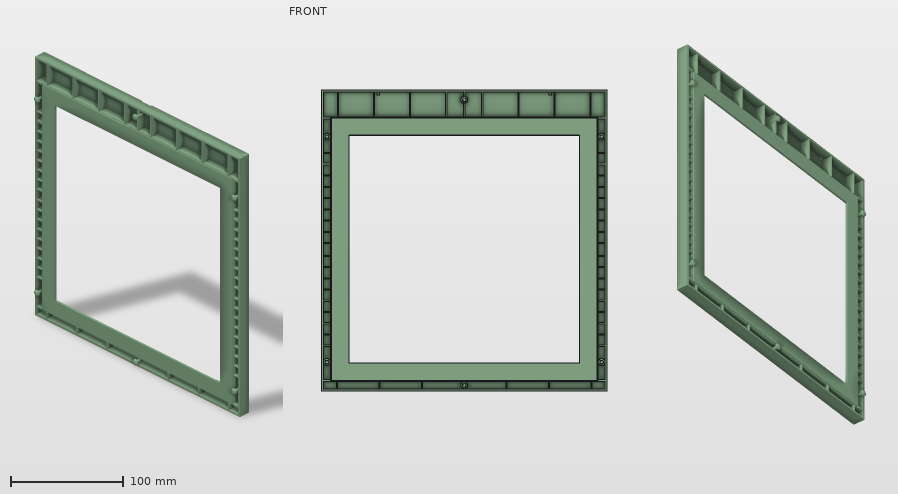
import cadquery as cq

FRAME_WIDTH = 254.0
FRAME_HEIGHT = 268.0
TOTAL_DEPTH = 16.11
FRAME_DEPTH = 12.0
FLOOR_THICKNESS = 3.0
REAR_EDGE_RADIUS = 0.5
OUTER_WALL = 2.0
INNER_WALL = 1.0
RIB_THICKNESS = 1.0
HALF_WIDTH = FRAME_WIDTH / 2
HALF_HEIGHT = FRAME_HEIGHT / 2

WINDOW_WIDTH = 205.0
WINDOW_HEIGHT = 202.5
WINDOW_BOTTOM = -109.0
PANEL_BORDER = 15.5
PANEL_THICKNESS = 2.0
INNER_WALL_SETBACK = 1.0
PANEL_HALF_WIDTH = WINDOW_WIDTH / 2 + PANEL_BORDER
PANEL_TOP = WINDOW_BOTTOM + WINDOW_HEIGHT + PANEL_BORDER
PANEL_BOTTOM = WINDOW_BOTTOM - PANEL_BORDER

POCKET_HALF_WIDTH = HALF_WIDTH - OUTER_WALL
POCKET_TOP = HALF_HEIGHT - OUTER_WALL
POCKET_BOTTOM = -POCKET_TOP
INNER_HALF_WIDTH = PANEL_HALF_WIDTH + INNER_WALL
INNER_TOP = PANEL_TOP + INNER_WALL
INNER_BOTTOM = PANEL_BOTTOM - INNER_WALL

TOP_RIB_PITCH = 32.1
TOP_RIBS_PER_SIDE = 4
BOTTOM_RIB_PITCH = 37.7
BOTTOM_RIBS_PER_SIDE = 3
SIDE_RIB_PITCH = 10.0
UPPER_RIB_COUNT = 7
UPPER_RIB_START_Z = 57.6
LOWER_RIB_COUNT = 9
LOWER_RIB_START_Z = -13.7
SINGLE_SIDE_RIB_Z = 77.9
CROSS_WALL = 2.0
CROSS_WALL_Z = 68.0

STUD_STEM_RADIUS = 1.6
STUD_FLANGE_RADIUS = 3.1
STUD_TIP_RADIUS = 1.6
STUD_STEM_LENGTH = 2.0
STUD_FLANGE_LENGTH = 1.0
SIDE_STUD_X = 122.2
SIDE_STUD_Z = (92.3, -108.2)
TOP_STUD_Z = 125.2
BOTTOM_STUD_Z = -128.9

LEDGE_HALF_LENGTH = 77.7
LEDGE_WIDTH = 1.5
LEDGE_DROP = 0.3
FINGER_NOTCH_RADIUS = 6.0
LUG_WIDTH = 2.5
LUG_DEPTH = 0.9
TAB_HEIGHT = 2.7
TAB_PROJECTION = 1.0


def box(x_min, x_max, z_min, z_max, depth, rear=0.0):
    """Block between two X and two Z limits, reaching forward (-Y) from the plane Y = -rear."""
    return cq.Workplane("XY").box(
        x_max - x_min, depth, z_max - z_min, centered=False
    ).translate((x_min, -rear - depth, z_min))


def frame_shell():
    """Open tray with an inner wall that carries the panel around the window."""
    shell = box(-HALF_WIDTH, HALF_WIDTH, -HALF_HEIGHT, HALF_HEIGHT, FRAME_DEPTH)
    shell = shell.edges("|Z and >Y").fillet(REAR_EDGE_RADIUS)
    pocket_depth = FRAME_DEPTH - FLOOR_THICKNESS
    pocket = box(
        -POCKET_HALF_WIDTH, POCKET_HALF_WIDTH, POCKET_BOTTOM, POCKET_TOP, pocket_depth, FLOOR_THICKNESS
    )
    inner_wall_depth = FRAME_DEPTH - INNER_WALL_SETBACK
    core = box(-INNER_HALF_WIDTH, INNER_HALF_WIDTH, INNER_BOTTOM, INNER_TOP, inner_wall_depth)
    panel = box(-PANEL_HALF_WIDTH, PANEL_HALF_WIDTH, PANEL_BOTTOM, PANEL_TOP, FRAME_DEPTH)
    hollow = box(
        -PANEL_HALF_WIDTH, PANEL_HALF_WIDTH, PANEL_BOTTOM, PANEL_TOP, FRAME_DEPTH - PANEL_THICKNESS
    )
    window = box(
        -WINDOW_WIDTH / 2, WINDOW_WIDTH / 2, WINDOW_BOTTOM, WINDOW_BOTTOM + WINDOW_HEIGHT, FRAME_DEPTH
    )
    return shell.cut(pocket).union(core).union(panel).cut(hollow).cut(window)


def vertical_rib(x, z_min, z_max):
    half = RIB_THICKNESS / 2
    return box(x - half, x + half, z_min, z_max, FRAME_DEPTH)


def side_rib(side, z, thickness):
    x_limits = sorted((side * POCKET_HALF_WIDTH, side * INNER_HALF_WIDTH))
    return box(*x_limits, z - thickness / 2, z + thickness / 2, FRAME_DEPTH)


def vertical_ribs():
    pieces = [vertical_rib(0, INNER_TOP, POCKET_TOP)]
    for side in (-1, 1):
        for step in range(TOP_RIBS_PER_SIDE):
            x = side * (step + 0.5) * TOP_RIB_PITCH
            pieces.append(vertical_rib(x, INNER_TOP, POCKET_TOP))
        for step in range(1, BOTTOM_RIBS_PER_SIDE + 1):
            x = side * step * BOTTOM_RIB_PITCH
            pieces.append(vertical_rib(x, POCKET_BOTTOM, INNER_BOTTOM))
    return pieces


def side_ribs():
    """Thin ribs and thicker cross walls in the narrow side pockets."""
    rib_heights = [SINGLE_SIDE_RIB_Z]
    rib_heights += [UPPER_RIB_START_Z - step * SIDE_RIB_PITCH for step in range(UPPER_RIB_COUNT)]
    rib_heights += [LOWER_RIB_START_Z - step * SIDE_RIB_PITCH for step in range(LOWER_RIB_COUNT)]
    wall_heights = (INNER_TOP - CROSS_WALL / 2, CROSS_WALL_Z, INNER_BOTTOM + CROSS_WALL / 2)
    pieces = []
    for side in (-1, 1):
        pieces += [side_rib(side, z, RIB_THICKNESS) for z in rib_heights]
        pieces += [side_rib(side, z, CROSS_WALL) for z in wall_heights]
    return pieces


def stud(x, z):
    """Forward-pointing stem rooted in the floor, ending in a flange with a conical tip."""
    stem_end = FRAME_DEPTH + STUD_STEM_LENGTH
    flange_end = stem_end + STUD_FLANGE_LENGTH
    profile = [
        (0, 0),
        (STUD_STEM_RADIUS, 0),
        (STUD_STEM_RADIUS, stem_end),
        (STUD_FLANGE_RADIUS, stem_end),
        (STUD_FLANGE_RADIUS, flange_end),
        (STUD_TIP_RADIUS, TOTAL_DEPTH),
        (0, TOTAL_DEPTH),
    ]
    turned = cq.Workplane("XY").polyline(profile).close().revolve(360, (0, 0, 0), (0, 1, 0))
    return turned.rotate((0, 0, 0), (0, 0, 1), 180).translate((x, 0, z))


def studs():
    pieces = [stud(0, TOP_STUD_Z), stud(0, BOTTOM_STUD_Z)]
    for side in (-1, 1):
        for z in SIDE_STUD_Z:
            pieces.append(stud(side * SIDE_STUD_X, z))
    return pieces


def ledge_cut():
    """Shallow step with a round finger notch at its middle."""
    step = box(-LEDGE_HALF_LENGTH, LEDGE_HALF_LENGTH, HALF_HEIGHT - LEDGE_DROP, HALF_HEIGHT, LEDGE_WIDTH)
    notch = cq.Workplane("XZ").center(0, HALF_HEIGHT).circle(FINGER_NOTCH_RADIUS).extrude(LEDGE_WIDTH)
    return step.union(notch)


def ledge_ends():
    """Lug at each end of the ledge, and the tab below it on the pocket floor."""
    pieces = []
    for side in (-1, 1):
        x_limits = sorted((side * LEDGE_HALF_LENGTH, side * (LEDGE_HALF_LENGTH - LUG_WIDTH)))
        pieces.append(box(*x_limits, HALF_HEIGHT - LEDGE_DROP, HALF_HEIGHT, LUG_DEPTH))
        pieces.append(
            box(*x_limits, POCKET_TOP - TAB_HEIGHT, POCKET_TOP, TAB_PROJECTION, FLOOR_THICKNESS)
        )
    return pieces


result = frame_shell().cut(ledge_cut())
for piece in vertical_ribs() + side_ribs() + studs() + ledge_ends():
    result = result.union(piece)